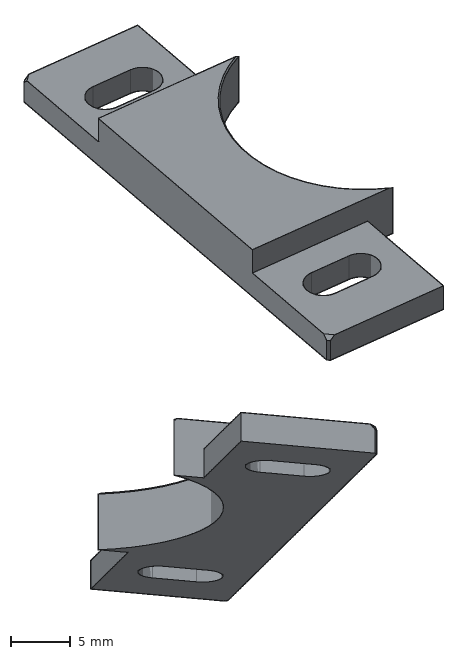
import cadquery as cq
import math

length = 43.4
tab_depth = 11.9
tab_height = 2.5

block_width = 21.87
block_depth = 14.5
block_height = 5.0
cradle_radius = 12.0
cradle_chamfer = 0.15

slot_width = 3.4
slot_length = 7.25
slot_spacing = 31.0

edge_chamfer = 0.2
corner_cut = 0.65

cradle_center_y = block_depth + math.sqrt(cradle_radius**2 - (block_width / 2) ** 2)


def box_from_front(width, depth, height):
    """Box centred on X, standing on Z = 0 with its front at Y = 0."""
    return cq.Workplane("XY").box(width, depth, height, centered=(True, False, False))


def cradle_cutter():
    """Vertical cylinder that flares out at 45 degrees just below the block top."""
    flare_start = block_height - cradle_chamfer
    cylinder = cq.Solid.makeCylinder(cradle_radius, block_height)
    flare = cq.Solid.makeCone(
        cradle_radius,
        cradle_radius + cradle_chamfer,
        cradle_chamfer,
        pnt=cq.Vector(0, 0, flare_start),
    )
    return cq.Workplane(cylinder.fuse(flare)).translate((0, cradle_center_y, 0))


def corner_cutter(side):
    """Tetrahedron that trims the top front corner equally along X, Y and Z."""
    corner = cq.Vector(side * length / 2, 0, tab_height)
    along_x = corner - cq.Vector(side * corner_cut, 0, 0)
    along_y = corner + cq.Vector(0, corner_cut, 0)
    along_z = corner - cq.Vector(0, 0, corner_cut)
    triangles = [
        (corner, along_x, along_y),
        (corner, along_y, along_z),
        (corner, along_z, along_x),
        (along_x, along_y, along_z),
    ]
    faces = [cq.Face.makeFromWires(cq.Wire.makePolygon(points, close=True)) for points in triangles]
    return cq.Workplane(cq.Solid.makeSolid(cq.Shell.makeShell(faces)))


plate = box_from_front(length, tab_depth, tab_height).edges("|Z and <Y").chamfer(edge_chamfer)

block = box_from_front(block_width, block_depth, block_height)
body = plate.union(block).cut(cradle_cutter())

slots = (
    cq.Workplane("XY")
    .pushPoints([(side * slot_spacing / 2, tab_depth / 2) for side in (-1, 1)])
    .slot2D(slot_length, slot_width, 90)
    .extrude(tab_height)
)
body = body.cut(slots)

for side in (-1, 1):
    body = body.cut(corner_cutter(side))

result = body